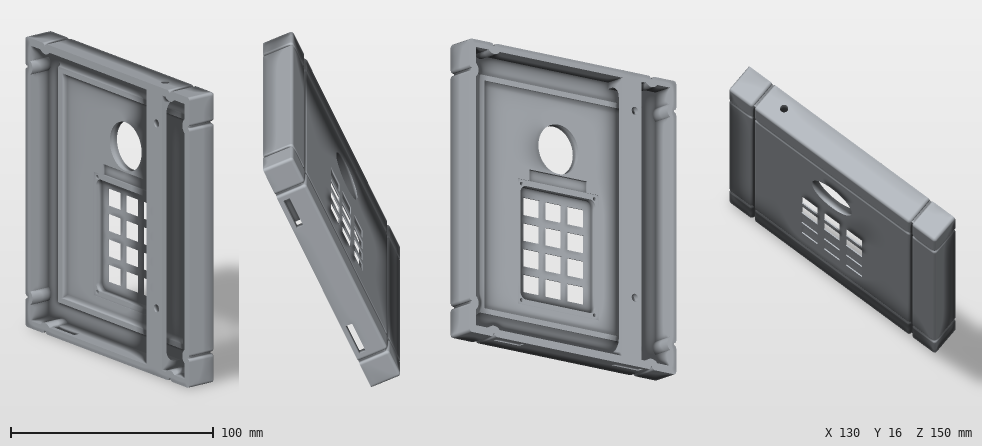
import cadquery as cq
import math

width = 130.0
depth = 16.0
height = 150.0
wall = 3.9
plate = 4.5
rim_y = -depth / 2
back_y = depth / 2
floor_y = back_y - plate
cavity_width = width - 2 * wall
cavity_height = height - 2 * wall

edge_radius = 1.5
groove_gap = 1.0
groove_depth = 1.5
groove_inset = 15.5
groove_x = width / 2 - groove_inset
groove_z = height / 2 - groove_inset

bump_radius = 4.5
bump_axis_depth = 1.0
ridge_top_width = 2.7
ridge_height = 2.1

window_diameter = 25.2
window_z = 31.6

keypad_z = -19.5
seat_width = 50.8
seat_height = 63.9
seat_depth = 0.3
pocket_width = 47.2
pocket_height = 58.0
pocket_depth = 3.9
pocket_corner_radius = 3.6
key_width = 10.0
key_height = 9.0
key_pitch_x = 14.0
key_pitch_z = 13.12
key_columns = 3
key_rows = 4
keypad_screw_diameter = 2.0
keypad_screw_depth = 2.2
keypad_screw_x = 23.0
keypad_screw_z = 29.7
cable_recess_width = 36.6
cable_recess_top = 18.3
cable_recess_depth = 1.5

slot_x = 37.4
slot_length = 16.4
slot_width = 3.5
slot_y = -4.0

bar_x = 37.2
bar_width = 12.0
bar_thickness = 3.0
foot_thickness = 3.3
foot_fillet = 6.0
bar_hole_diameter = 4.0
bar_hole_x = 39.0
bar_hole_heights = (-40.0, 55.5)
top_screw_diameter = 4.0
top_screw_y = -1.0


def box_on(y_start, y_end, size_x, size_z, x=0.0, z=0.0):
    """Box between two Y levels, centred on x and z."""
    return cq.Workplane("XY").box(size_x, y_end - y_start, size_z).translate((x, (y_start + y_end) / 2, z))


def cylinder_along_y(diameter, y_start, y_end, points):
    """Cylinders along Y at the given (x, z) points."""
    plane = cq.Workplane("XZ", origin=(0, y_start, 0))
    return plane.pushPoints(points).circle(diameter / 2).extrude(y_start - y_end)


def tile_spans(half_size, groove):
    """Start and end of the three tiles along one direction."""
    half_gap = groove_gap / 2
    return [
        (-half_size, -groove - half_gap),
        (-groove + half_gap, groove - half_gap),
        (groove + half_gap, half_size),
    ]


def make_outside():
    """Solid outer block: a core with rounded tiles standing out between the grooves."""
    core = box_on(rim_y, back_y - groove_depth, width - 2 * groove_depth, height - 2 * groove_depth)
    for x_start, x_end in tile_spans(width / 2, groove_x):
        for z_start, z_end in tile_spans(height / 2, groove_z):
            tile = box_on(
                rim_y, back_y, x_end - x_start, z_end - z_start, (x_start + x_end) / 2, (z_start + z_end) / 2
            )
            core = core.union(tile.edges("not <Y").fillet(edge_radius))
    return core


def make_bumps():
    """Round ribs on the inside of the side walls, one behind each groove."""
    axis_x = width / 2 - bump_axis_depth
    axis_z = height / 2 - bump_axis_depth
    points = []
    for side_x in (-1, 1):
        for side_z in (-1, 1):
            points.append((side_x * groove_x, side_z * axis_z))
            points.append((side_x * axis_x, side_z * groove_z))
    return cylinder_along_y(2 * bump_radius, rim_y, floor_y, points)


def flanked_prism(half_foot, half_top):
    """Long prism along Z on the plate, with flanks that are quarter circles from foot to top."""
    top_y = floor_y - ridge_height
    mid_x = half_foot + (half_top - half_foot) * math.sqrt(0.5)
    mid_y = top_y + ridge_height * math.sqrt(0.5)
    return (
        cq.Workplane("XY")
        .moveTo(-half_foot, floor_y)
        .threePointArc((-mid_x, mid_y), (-half_top, top_y))
        .lineTo(half_top, top_y)
        .threePointArc((mid_x, mid_y), (half_foot, floor_y))
        .close()
        .extrude(height, both=True)
    )


def mitred_block(foot_offset, top_offset):
    """Rectangular block on the plate whose flanks meet in mitres; offsets are from the groove lines."""
    across_x = flanked_prism(groove_x + foot_offset, groove_x + top_offset)
    across_z = flanked_prism(groove_z + foot_offset, groove_z + top_offset)
    return across_x.intersect(across_z.rotate((0, 0, 0), (0, 1, 0), 90))


def make_ridge():
    """Mitred ring with concave flanks on the inside of the plate, behind the grooves."""
    half_top = ridge_top_width / 2
    half_foot = half_top + ridge_height
    return mitred_block(half_foot, half_top).cut(mitred_block(-half_foot, -half_top))


def cut_keypad(body):
    """Cut the keypad seat, its pocket, key windows, screw holes and cable recess."""
    seat_floor_y = floor_y + seat_depth
    pocket_floor_y = floor_y + pocket_depth
    seat_top = keypad_z + seat_height / 2
    recess = box_on(
        floor_y, floor_y + cable_recess_depth, cable_recess_width,
        cable_recess_top - seat_top, 0, (cable_recess_top + seat_top) / 2,
    )
    seat = box_on(floor_y, seat_floor_y, seat_width, seat_height, 0, keypad_z)
    pocket = box_on(floor_y, pocket_floor_y, pocket_width, pocket_height, 0, keypad_z)
    pocket = pocket.edges("|Y").fillet(pocket_corner_radius)
    body = body.cut(recess).cut(seat).cut(pocket)
    for column in range(key_columns):
        for row in range(key_rows):
            x = (column - (key_columns - 1) / 2) * key_pitch_x
            z = keypad_z + (row - (key_rows - 1) / 2) * key_pitch_z
            body = body.cut(box_on(floor_y, back_y, key_width, key_height, x, z))
    screws = [
        (side_x * keypad_screw_x, keypad_z + side_z * keypad_screw_z)
        for side_x in (-1, 1)
        for side_z in (-1, 1)
    ]
    return body.cut(
        cylinder_along_y(keypad_screw_diameter, seat_floor_y, seat_floor_y + keypad_screw_depth, screws)
    )


def make_top_screw_hole():
    """Vertical screw hole through the top wall and the upper foot of the bar."""
    return (
        cq.Workplane("XY", origin=(bar_x, top_screw_y, 0)).circle(top_screw_diameter / 2).extrude(height / 2)
    )


def make_housing():
    cavity = box_on(rim_y, floor_y, cavity_width, cavity_height).cut(make_bumps()).cut(make_ridge())
    body = make_outside().cut(cavity)
    body = body.cut(cylinder_along_y(window_diameter, floor_y, back_y, [(0, window_z)]))
    body = cut_keypad(body)
    for side in (-1, 1):
        slot = cq.Workplane("XY").box(slot_length, slot_width, wall)
        body = body.cut(slot.translate((side * slot_x, slot_y, -height / 2 + wall / 2)))
    return body.cut(make_top_screw_hole())


def make_bar():
    """Upright strip flush with the rim, with a filleted foot reaching back to the plate at each end."""
    strip_y = rim_y + bar_thickness
    end_z = cavity_height / 2
    foot_z = end_z - foot_thickness
    arc_y = strip_y + foot_fillet
    arc_z = foot_z - foot_fillet
    mid = foot_fillet * math.sqrt(0.5)
    bar = (
        cq.Workplane("YZ", origin=(bar_x - bar_width / 2, 0, 0))
        .moveTo(rim_y, -end_z)
        .lineTo(floor_y, -end_z)
        .lineTo(floor_y, -foot_z)
        .lineTo(arc_y, -foot_z)
        .threePointArc((arc_y - mid, -arc_z - mid), (strip_y, -arc_z))
        .lineTo(strip_y, arc_z)
        .threePointArc((arc_y - mid, arc_z + mid), (arc_y, foot_z))
        .lineTo(floor_y, foot_z)
        .lineTo(floor_y, end_z)
        .lineTo(rim_y, end_z)
        .close()
        .extrude(bar_width)
    )
    holes = [(bar_hole_x, z) for z in bar_hole_heights]
    bar = bar.cut(cylinder_along_y(bar_hole_diameter, rim_y, strip_y, holes))
    return bar.cut(make_top_screw_hole())


housing = make_housing()
bar = make_bar()
result = cq.Compound.makeCompound([housing.val(), bar.val()])